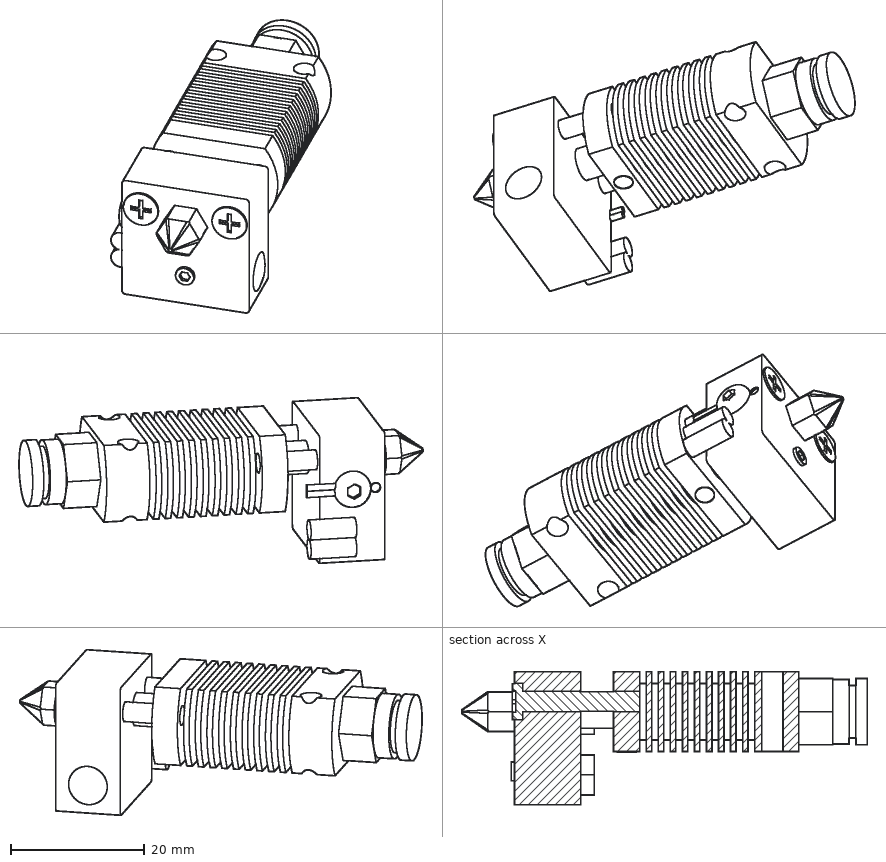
import cadquery as cq
import math


nozzle_cone_length = 3.9
nozzle_hex_length = 4.0
block_depth = 10.0
block_gap = 4.9
flange_length = 3.95
finned_length = 17.25
mount_length = 6.65

block_front = nozzle_cone_length + nozzle_hex_length
block_middle = block_front + block_depth / 2
block_back = block_front + block_depth
flange_front = block_back + block_gap
flange_back = flange_front + flange_length
mount_front = flange_back + finned_length
mount_back = mount_front + mount_length

body_width = 20.0
sink_height = 12.0
fin_count = 9
fin_thickness = 0.85
core_diameter = 8.55
mount_hole_diameter = 3.2
mount_hole_inset = 3.95
sink_screw_diameter = 2.85
sink_screw_protrusion = 0.1

fitting_hex_flats = 10.0
fitting_hex_length = 5.1
fitting_steps = [(9.75, 2.45), (7.9, 1.05), (10.0, 1.7)]

block_top = sink_height / 2
block_bottom = block_top - body_width
block_edge_radius = 0.6
block_side = -body_width / 2

cartridge_diameter = 6.0
cartridge_z = -9.5
cartridge_left_height = 0.25
cartridge_left_flat = 3.3
cartridge_dome_height = 0.7
lead_diameter = 3.05
lead_spacing = 3.0
lead_x = -11.7
lead_back = 19.95

sensor_z = -2.5
clamp_head_diameter = 5.6
clamp_head_height = 1.45
clamp_head_radius = 1.35
clamp_socket_flats = 2.0
clamp_socket_depth = 0.8
wire_diameter = 1.0
wire_pair_z = -2.45
sensor_hole_diameter = 1.45
sensor_hole_y = 9.35
sensor_hole_depth = 0.3

set_screw_diameter = 2.85
set_screw_protrusion = 0.5
set_screw_socket_flats = 1.45
set_screw_socket_depth = 0.5
set_screw_z = -8.95

nozzle_hex_flats = 6.0
nozzle_tip_radius = 0.3
nozzle_cone_tip_radius = 0.275
nozzle_ridge_ratio = 0.96
throat_diameter = 5.0

bolt_x = 6.95
bolt_z = 1.5
bolt_diameter = 3.0
bolt_head_diameter = 5.4
bolt_head_height = 1.5
bolt_head_protrusion = 0.3
cross_length = 3.2
cross_width = 0.6
cross_depth = 0.5

hex_sides = 6
hex_half_angle = 180 / hex_sides


def corner_diameter(flats):
    """Diameter through the corners of a hexagon with the given width across flats."""
    return flats / math.cos(math.radians(hex_half_angle))


def plane_y(y, x=0, z=0):
    """Workplane facing -Y, with X to the right and Z up."""
    return cq.Workplane("XZ", origin=(x, y, z))


def rod_y(diameter, start, end, x=0, z=0):
    """Round rod along Y from start to end."""
    return plane_y(start, x, z).circle(diameter / 2).extrude(start - end)


def hex_y(flats, start, end, x=0, z=0):
    """Hexagonal rod along Y, with two of its corners pointing along X."""
    return plane_y(start, x, z).polygon(hex_sides, corner_diameter(flats)).extrude(start - end)


def rod_x(diameter, start, end, y, z):
    """Round rod along X from start to end."""
    return cq.Workplane("YZ", origin=(start, y, z)).circle(diameter / 2).extrude(end - start)


def sink_plate(start, end):
    """Round plate cut flat at top and bottom."""
    plate = rod_y(body_width, start, end)
    slab = plane_y(start).rect(body_width, sink_height).extrude(start - end)
    return plate.intersect(slab)


def bolt_blank(x):
    """Bolt without its cross recess: shank up to the back of the flange, and sunk head."""
    head_seat = block_front + bolt_head_height - bolt_head_protrusion
    shank = rod_y(bolt_diameter, head_seat, flange_back, x, bolt_z)
    head = rod_y(bolt_head_diameter, block_front - bolt_head_protrusion, head_seat, x, bolt_z)
    return shank.union(head)


def heat_break():
    """Round tube from the nozzle to the back of the flange."""
    return rod_y(throat_diameter, block_front, flange_back)


def make_heat_sink():
    sink = rod_y(core_diameter, flange_front, mount_back)
    sink = sink.union(sink_plate(flange_front, flange_back))
    sink = sink.union(sink_plate(mount_front, mount_back))

    fin_gap = (finned_length - fin_count * fin_thickness) / (fin_count + 1)
    for i in range(fin_count):
        fin_front = flange_back + fin_gap + i * (fin_gap + fin_thickness)
        sink = sink.union(sink_plate(fin_front, fin_front + fin_thickness))

    mount_holes = (
        cq.Workplane("XY", origin=(0, mount_back - mount_hole_inset, -sink_height / 2))
        .pushPoints([(-bolt_x, 0), (bolt_x, 0)])
        .circle(mount_hole_diameter / 2)
        .extrude(sink_height)
    )
    sink = sink.cut(mount_holes).cut(heat_break())
    for x in (-bolt_x, bolt_x):
        sink = sink.cut(bolt_blank(x))

    screw_bottom = -sink_height / 2 - sink_screw_protrusion
    screw_length = (sink_height - throat_diameter) / 2 + sink_screw_protrusion
    screw = (
        cq.Workplane("XY", origin=(0, (flange_front + flange_back) / 2, screw_bottom))
        .circle(sink_screw_diameter / 2)
        .extrude(screw_length)
        .cut(heat_break())
    )
    return sink.union(screw)


def make_fitting():
    start = mount_back + fitting_hex_length
    fitting = hex_y(fitting_hex_flats, mount_back, start)
    for diameter, length in fitting_steps:
        fitting = fitting.union(rod_y(diameter, start, start + length))
        start += length
    return fitting


def make_cartridge():
    """Heater cartridge across the block, and the two leads on its left end."""
    radius = cartridge_diameter / 2
    flat_radius = cartridge_left_flat / 2
    left_face = block_side - cartridge_left_height
    right_side = -block_side
    dome_tip = right_side + cartridge_dome_height
    dome_radius = (radius**2 + cartridge_dome_height**2) / (2 * cartridge_dome_height)
    half_angle = math.asin(radius / dome_radius) / 2
    dome_middle = (dome_tip - dome_radius * (1 - math.cos(half_angle)), dome_radius * math.sin(half_angle))
    cartridge = (
        cq.Workplane("XY", origin=(0, block_middle, cartridge_z))
        .moveTo(left_face, 0)
        .lineTo(left_face, flat_radius)
        .lineTo(block_side, radius)
        .lineTo(right_side, radius)
        .threePointArc(dome_middle, (dome_tip, 0))
        .close()
        .revolve(360, (0, 0, 0), (1, 0, 0))
    )
    for side in (-1, 1):
        lead_z = cartridge_z + side * lead_spacing / 2
        cartridge = cartridge.union(rod_y(lead_diameter, block_middle, lead_back, lead_x, lead_z))
    return cartridge


def make_sensor():
    """Button-head clamp screw and the two wires caught under it."""
    head_face = block_side - clamp_head_height
    sensor = rod_x(clamp_head_diameter, head_face, block_side, block_middle, sensor_z)
    sensor = sensor.faces("<X").edges().fillet(clamp_head_radius)
    socket = (
        cq.Workplane("YZ", origin=(head_face, block_middle, sensor_z))
        .transformed(rotate=(0, 0, hex_half_angle))
        .polygon(hex_sides, corner_diameter(clamp_socket_flats))
        .extrude(clamp_socket_depth)
    )
    for side in (-1, 1):
        wire_z = wire_pair_z + side * wire_diameter / 2
        sensor = sensor.union(rod_y(wire_diameter, block_middle, lead_back, block_side, wire_z))
    return sensor.cut(socket)


def make_heater_block():
    block = (
        plane_y(block_front, 0, (block_top + block_bottom) / 2)
        .rect(body_width, body_width)
        .extrude(-block_depth)
        .edges("|Y")
        .fillet(block_edge_radius)
    )
    block = block.union(make_cartridge())
    block = block.union(make_sensor())

    sensor_hole_end = block_side + sensor_hole_depth
    block = block.cut(rod_x(sensor_hole_diameter, block_side, sensor_hole_end, sensor_hole_y, sensor_z))

    screw_front = block_front - set_screw_protrusion
    socket_end = screw_front + set_screw_socket_depth
    block = block.union(rod_y(set_screw_diameter, screw_front, block_front, z=set_screw_z))
    block = block.cut(hex_y(set_screw_socket_flats, screw_front, socket_end, z=set_screw_z))

    block = block.cut(heat_break())
    for x in (-bolt_x, bolt_x):
        block = block.cut(bolt_blank(x))
    return block


def make_nozzle():
    corner_radius = corner_diameter(nozzle_hex_flats) / 2
    tip = (
        plane_y(nozzle_cone_length)
        .polygon(hex_sides, 2 * corner_radius)
        .workplane(offset=nozzle_cone_length)
        .polygon(hex_sides, 2 * nozzle_tip_radius)
        .loft(ruled=True)
    )
    nozzle = hex_y(nozzle_hex_flats, nozzle_cone_length, block_front).union(tip)

    cone_slope = (nozzle_ridge_ratio * corner_radius - nozzle_cone_tip_radius) / nozzle_cone_length
    cone_base = nozzle_cone_tip_radius + cone_slope * block_front
    envelope = (
        cq.Workplane("XY")
        .polyline([(0, 0), (nozzle_cone_tip_radius, 0), (cone_base, block_front), (0, block_front)])
        .close()
        .revolve(360, (0, 0, 0), (0, 1, 0))
    )
    return nozzle.intersect(envelope).union(heat_break())


def make_bolt(x):
    head_front = block_front - bolt_head_protrusion
    bolt = bolt_blank(x)
    for width, height in ((cross_length, cross_width), (cross_width, cross_length)):
        bolt = bolt.cut(plane_y(head_front, x, bolt_z).rect(width, height).extrude(-cross_depth))
    return bolt


heat_sink = make_heat_sink()
fitting = make_fitting()
heater_block = make_heater_block()
nozzle = make_nozzle()
bolts = [make_bolt(x).solids().val() for x in (-bolt_x, bolt_x)]

result = cq.Compound.makeCompound(
    [
        heat_sink.solids().val(),
        fitting.solids().val(),
        heater_block.solids().val(),
        nozzle.solids().val(),
        *bolts,
    ]
)